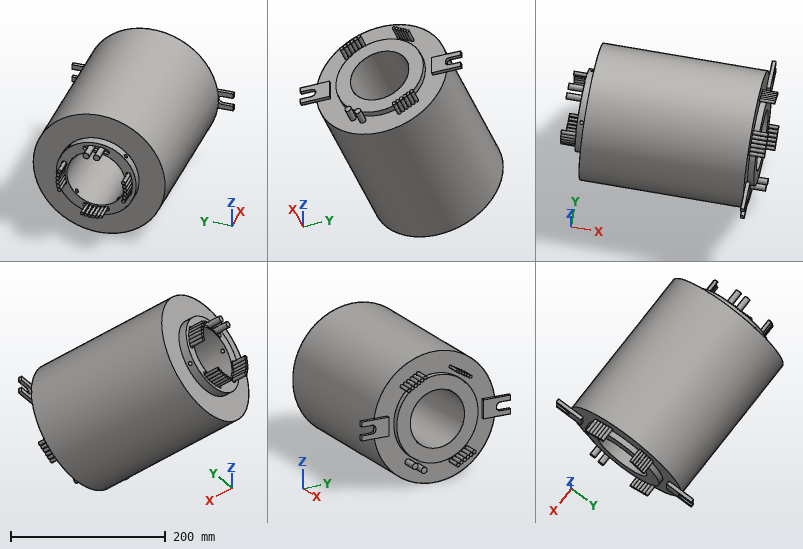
import cadquery as cq
import math


BODY_LENGTH = 216.5
BODY_RADIUS = 90.0
HUB_LENGTH = 12.0
HUB_RADIUS = 54.5
REAR_FLANGE_LENGTH = 8.0
REAR_FLANGE_RADIUS = 60.0
BORE_RADIUS = 40.0

WIRE_LENGTH = 20.0
POWER_WIRE_DIAMETER = 8.4
MEDIUM_WIRE_DIAMETER = 5.0
SMALL_WIRE_DIAMETER = 4.0
POWER_WIRE_COUNT = 2
THIN_WIRE_COUNT = 6

HUB_WIRE_RADIUS = 46.0
SLOT_WIDTH = 6.5
SLOT_DEPTH = 5.0
SLOT_HALF_ANGLE = 18.5
SIDE_SLOT_ANGLES = (0, 180)
TOP_SLOT_ANGLE = 90
BOTTOM_SLOT_ANGLE = 270
SLOT_ANGLES = (*SIDE_SLOT_ANGLES, TOP_SLOT_ANGLE, BOTTOM_SLOT_ANGLE)
HUB_POWER_PITCH = 17.8
HUB_MEDIUM_PITCH = 7.1
HUB_SMALL_PITCH = 6.5

REAR_ROW_INNER_Y = 21.7
REAR_ROW_OUTER_Z = 66.9
REAR_MEDIUM_OUTER_Z = 66.3
REAR_ROW_TILT = 30.0
REAR_POWER_PITCH = 15.3
REAR_MEDIUM_PITCH = 5.5
REAR_SMALL_PITCH = 4.35

SCREW_HOLE_DIAMETER = 5.0
SCREW_HOLE_ANGLES = (45, 135, 225, 315)

EAR_THICKNESS = 5.0
EAR_WIDTH = 26.0
EAR_INNER_Y = 70.0
EAR_OUTER_Y = 110.0
FORK_WIDTH = 12.0
FORK_CENTRE_Y = 95.0

HUB_FACE_X = WIRE_LENGTH
BODY_FRONT_X = HUB_FACE_X + HUB_LENGTH
BODY_REAR_X = BODY_FRONT_X + BODY_LENGTH
REAR_FLANGE_END_X = BODY_REAR_X + REAR_FLANGE_LENGTH
SCREW_HOLE_X = HUB_FACE_X + HUB_LENGTH / 2


def section_plane(x):
    """Cross-section plane at x: local axes are +Y and +Z, normal is +X."""
    return cq.Workplane("YZ", origin=(x, 0, 0))


def polar(radius, angle):
    """Point (y, z) at a radius and an angle in degrees."""
    turn = math.radians(angle)
    return radius * math.cos(turn), radius * math.sin(turn)


def cylinder(x_start, x_end, radius):
    return section_plane(x_start).circle(radius).extrude(x_end - x_start)


def make_core():
    hub = cylinder(HUB_FACE_X, BODY_FRONT_X, HUB_RADIUS)
    body = cylinder(BODY_FRONT_X, BODY_REAR_X, BODY_RADIUS)
    rear_flange = cylinder(BODY_REAR_X, REAR_FLANGE_END_X, REAR_FLANGE_RADIUS)
    bore = cylinder(HUB_FACE_X, REAR_FLANGE_END_X, BORE_RADIUS)
    return hub.union(body).union(rear_flange).cut(bore)


def make_screw_hole(angle):
    """Radial hole through the hub wall."""
    y, z = polar(1, angle)
    hole = cq.Solid.makeCylinder(
        SCREW_HOLE_DIAMETER / 2,
        HUB_RADIUS,
        cq.Vector(SCREW_HOLE_X, 0, 0),
        cq.Vector(0, y, z),
    )
    return cq.Workplane(hole)


def make_slot(angle):
    """Curved slot with round ends, sunk into the hub face."""
    inner = HUB_WIRE_RADIUS - SLOT_WIDTH / 2
    outer = HUB_WIRE_RADIUS + SLOT_WIDTH / 2
    start = angle - SLOT_HALF_ANGLE
    end = angle + SLOT_HALF_ANGLE
    cap = math.degrees(SLOT_WIDTH / 2 / HUB_WIRE_RADIUS)
    return (
        section_plane(HUB_FACE_X)
        .moveTo(*polar(outer, start))
        .threePointArc(polar(outer, angle), polar(outer, end))
        .threePointArc(polar(HUB_WIRE_RADIUS, end + cap), polar(inner, end))
        .threePointArc(polar(inner, angle), polar(inner, start))
        .threePointArc(polar(HUB_WIRE_RADIUS, start - cap), polar(outer, start))
        .close()
        .extrude(SLOT_DEPTH)
    )


def make_wires(x_start, x_end, points, diameter):
    """Straight wires along X through the given (y, z) points."""
    return section_plane(x_start).pushPoints(points).circle(diameter / 2).extrude(x_end - x_start)


def make_hub_bundle(angle, count, pitch, diameter):
    """Wires along an arc, rising from a slot floor and standing out in front of the hub."""
    first = angle - pitch * (count - 1) / 2
    points = [polar(HUB_WIRE_RADIUS, first + pitch * i) for i in range(count)]
    return make_wires(0, HUB_FACE_X + SLOT_DEPTH, points, diameter)


def make_rear_row(y_side, z_side, outer_z, count, pitch, diameter):
    """Tilted straight row of wires in the quadrant given by the signs of Y and Z."""
    first_y = REAR_ROW_INNER_Y + diameter / 2
    first_z = outer_z - diameter / 2
    step_y, step_z = polar(pitch, -REAR_ROW_TILT)
    points = [
        (y_side * (first_y + step_y * i), z_side * (first_z + step_z * i))
        for i in range(count)
    ]
    return make_wires(BODY_REAR_X, BODY_REAR_X + WIRE_LENGTH, points, diameter)


def make_ear():
    """Forked plate on the rear face of the body, on the +Y side."""
    plate = (
        section_plane(BODY_REAR_X)
        .center((EAR_INNER_Y + EAR_OUTER_Y) / 2, 0)
        .rect(EAR_OUTER_Y - EAR_INNER_Y, EAR_WIDTH)
        .extrude(EAR_THICKNESS)
    )
    fork_length = EAR_OUTER_Y - FORK_CENTRE_Y
    fork = (
        section_plane(BODY_REAR_X)
        .center(EAR_OUTER_Y, 0)
        .slot2D(2 * fork_length + FORK_WIDTH, FORK_WIDTH)
        .extrude(EAR_THICKNESS)
    )
    return plate.cut(fork)


result = make_core()

for screw_angle in SCREW_HOLE_ANGLES:
    result = result.cut(make_screw_hole(screw_angle))

for slot_angle in SLOT_ANGLES:
    result = result.cut(make_slot(slot_angle))

wire_groups = [
    make_hub_bundle(TOP_SLOT_ANGLE, POWER_WIRE_COUNT, HUB_POWER_PITCH, POWER_WIRE_DIAMETER),
    make_hub_bundle(BOTTOM_SLOT_ANGLE, THIN_WIRE_COUNT, HUB_SMALL_PITCH, SMALL_WIRE_DIAMETER),
]
for side_angle in SIDE_SLOT_ANGLES:
    wire_groups.append(
        make_hub_bundle(side_angle, THIN_WIRE_COUNT, HUB_MEDIUM_PITCH, MEDIUM_WIRE_DIAMETER)
    )

POWER_ROW = (REAR_ROW_OUTER_Z, POWER_WIRE_COUNT, REAR_POWER_PITCH, POWER_WIRE_DIAMETER)
MEDIUM_ROW = (REAR_MEDIUM_OUTER_Z, THIN_WIRE_COUNT, REAR_MEDIUM_PITCH, MEDIUM_WIRE_DIAMETER)
SMALL_ROW = (REAR_ROW_OUTER_Z, THIN_WIRE_COUNT, REAR_SMALL_PITCH, SMALL_WIRE_DIAMETER)
wire_groups += [
    make_rear_row(-1, -1, *POWER_ROW),
    make_rear_row(-1, 1, *MEDIUM_ROW),
    make_rear_row(1, -1, *MEDIUM_ROW),
    make_rear_row(1, 1, *SMALL_ROW),
]
for wires in wire_groups:
    result = result.union(wires)

left_ear = make_ear()
result = result.union(left_ear).union(left_ear.mirror("XZ"))